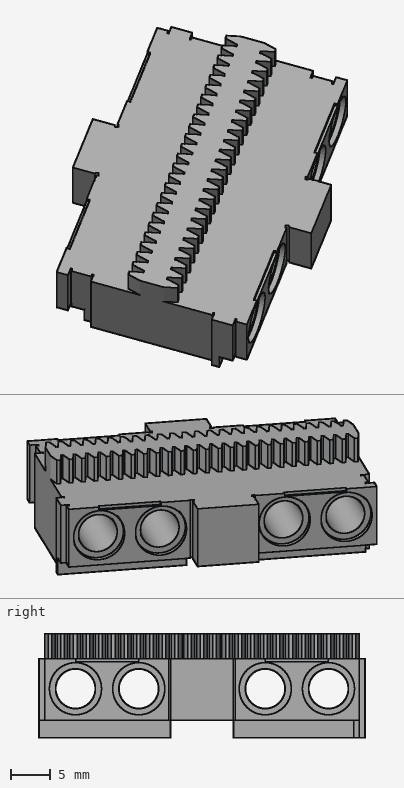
import cadquery as cq

OVERALL_X = 31.8
OVERALL_Y = 41.2
OVERALL_Z = 13.2

BLOCK_X = 25.38
TAB_LENGTH = 0.7
BLOCK_Y = OVERALL_Y - 2 * TAB_LENGTH
RACK_HEIGHT = 3.17
FOOT_HEIGHT = 2.22
FOOT_X = 18.5
EAR_Y = 7.9
DECK_Z = OVERALL_Z - RACK_HEIGHT
BODY_HEIGHT = DECK_Z - FOOT_HEIGHT
EAR_RELIEF_DIAMETER = 0.5

TAB_X = 9.65
TAB_WIDTH = 2.8
TAB_RELIEF_WIDTH = 0.15
TAB_RELIEF_DEPTH = 0.37
NOTCH_WIDTH = 3.05
NOTCH_DEPTH = 0.75
NOTCH_RELIEF_WIDTH = 0.2
NOTCH_RELIEF_DEPTH = 0.37

HOLE_PITCH = 8.0
PAIR_CENTRE_Y = 1.5 * HOLE_PITCH
HOLE_DIAMETER = 5.0
COUNTERBORE_DIAMETER = 6.6
COUNTERBORE_DEPTH = 0.8
HOLE_BELOW_DECK = 3.8
HOLE_Z = DECK_Z - HOLE_BELOW_DECK

GROOVE_DEPTH = 0.4
GROOVE_HEIGHT = 0.4

TOOTH_COUNT = 25
TIP_X = 3.3
ROOT_X = 1.55
TIP_WIDTH = 0.45
ROOT_GAP = 0.25
TOOTH_PITCH = (BLOCK_Y + ROOT_GAP) / TOOTH_COUNT


def box(size_x, size_y, size_z, x, y, z):
    """Box centred at (x, y) with its underside at z."""
    return cq.Workplane("XY").box(size_x, size_y, size_z, centered=(True, True, False)).translate((x, y, z))


def make_body():
    """Block with two ears, raised on two narrower feet, with a round relief in each ear corner."""
    block = box(BLOCK_X, BLOCK_Y, BODY_HEIGHT, 0, 0, FOOT_HEIGHT)
    ears = box(OVERALL_X, EAR_Y, BODY_HEIGHT, 0, 0, FOOT_HEIGHT)
    feet = box(FOOT_X, BLOCK_Y, FOOT_HEIGHT, 0, 0, 0).cut(box(FOOT_X, EAR_Y, FOOT_HEIGHT, 0, 0, 0))
    body = block.union(ears).union(feet)
    for side_x in (-1, 1):
        for side_y in (-1, 1):
            corner = (side_x * BLOCK_X / 2, side_y * EAR_Y / 2, FOOT_HEIGHT)
            relief = cq.Workplane("XY", origin=corner).circle(EAR_RELIEF_DIAMETER / 2).extrude(BODY_HEIGHT)
            body = body.cut(relief)
    return body


def add_tab(body, x, end):
    """Tab on the end face (end = +1 or -1), with a relief slit along each flank."""
    face_y = end * BLOCK_Y / 2
    tab = box(TAB_WIDTH, TAB_LENGTH, DECK_Z, x, face_y + end * TAB_LENGTH / 2, 0)
    outer = box(OVERALL_X, OVERALL_Y, BODY_HEIGHT, 0, 0, FOOT_HEIGHT)
    inner = box(FOOT_X, OVERALL_Y, FOOT_HEIGHT, 0, 0, 0)
    body = body.union(tab.intersect(outer.union(inner)))
    for side in (-1, 1):
        relief_x = x + side * (TAB_WIDTH + TAB_RELIEF_WIDTH) / 2
        relief_y = face_y - end * TAB_RELIEF_DEPTH / 2
        body = body.cut(box(TAB_RELIEF_WIDTH, TAB_RELIEF_DEPTH, DECK_Z, relief_x, relief_y, 0))
    return body


def cut_notch(body, x, end):
    """Notch in the end face (end = +1 or -1), with a deeper relief at each inner corner."""
    face_y = end * BLOCK_Y / 2
    body = body.cut(box(NOTCH_WIDTH, NOTCH_DEPTH, DECK_Z, x, face_y - end * NOTCH_DEPTH / 2, 0))
    full_depth = NOTCH_DEPTH + NOTCH_RELIEF_DEPTH
    for side in (-1, 1):
        relief_x = x + side * (NOTCH_WIDTH - NOTCH_RELIEF_WIDTH) / 2
        relief_y = face_y - end * full_depth / 2
        body = body.cut(box(NOTCH_RELIEF_WIDTH, full_depth, DECK_Z, relief_x, relief_y, 0))
    return body


def cylinder_x(diameter, length, x, y):
    """Cylinder along X, centred at (x, y) on the hole height."""
    start = cq.Workplane("YZ", origin=(x - length / 2, y, HOLE_Z))
    return start.circle(diameter / 2).extrude(length)


def cut_holes(body):
    """Four through holes, counterbored on both side faces."""
    for step in (-2, -1, 1, 2):
        y = step * HOLE_PITCH
        body = body.cut(cylinder_x(HOLE_DIAMETER, BLOCK_X, 0, y))
        for side in (-1, 1):
            x = side * (BLOCK_X - COUNTERBORE_DEPTH) / 2
            body = body.cut(cylinder_x(COUNTERBORE_DIAMETER, COUNTERBORE_DEPTH, x, y))
    return body


def cut_grooves(body):
    """Groove along the top edge of each side face, over each pair of holes."""
    for side in (-1, 1):
        x = side * (BLOCK_X - GROOVE_DEPTH) / 2
        for end in (-1, 1):
            y = end * PAIR_CENTRE_Y
            body = body.cut(box(GROOVE_DEPTH, HOLE_PITCH, GROOVE_HEIGHT, x, y, DECK_Z - GROOVE_HEIGHT))
    return body


def make_rack():
    """Straight-flanked rack toothed on both sides, running the full block length."""
    right = []
    for index in range(TOOTH_COUNT):
        y = (index - (TOOTH_COUNT - 1) / 2) * TOOTH_PITCH
        base_half = (TOOTH_PITCH - ROOT_GAP) / 2
        right += [
            (ROOT_X, y - base_half),
            (TIP_X, y - TIP_WIDTH / 2),
            (TIP_X, y + TIP_WIDTH / 2),
            (ROOT_X, y + base_half),
        ]
    left = [(-x, y) for x, y in reversed(right)]
    return cq.Workplane("XY").workplane(offset=DECK_Z).polyline(right + left).close().extrude(RACK_HEIGHT)


body = make_body()
for end in (-1, 1):
    body = add_tab(body, -end * TAB_X, end)
    body = cut_notch(body, end * TAB_X, end)
body = cut_holes(body)
body = cut_grooves(body)
result = body.union(make_rack()).clean()